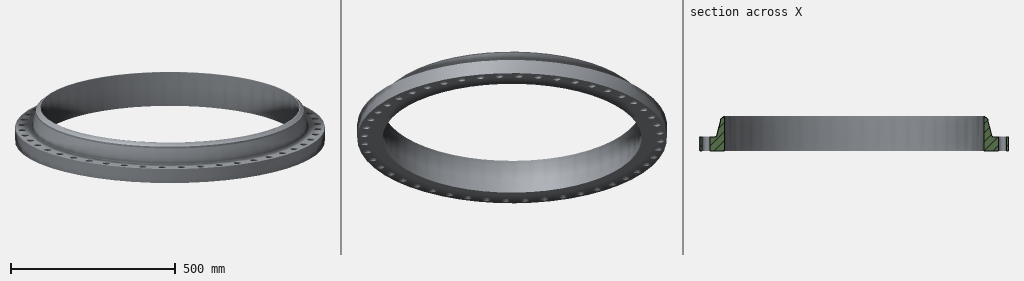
import cadquery as cq
import math

outer_diameter = 941.0
flange_thickness = 44.0
bore_radius = 393.0

bolt_hole_count = 48
bolt_circle_diameter = 900.0
bolt_hole_diameter = 23.0

total_height = 106.0
taper_base_radius = 420.0
taper_top_radius = 407.5
foot_fillet_radius = 6.0
land_height = 6.0
bevel_height = 9.0
rim_width = 3.0

outer_radius = outer_diameter / 2
bevel_bottom = total_height - bevel_height
taper_top = bevel_bottom - land_height

taper_angle = math.atan2(taper_top - flange_thickness, taper_base_radius - taper_top_radius)
fillet_setback = foot_fillet_radius * math.tan(taper_angle / 2)
fillet_start_radius = taper_base_radius + fillet_setback
fillet_end = (
    taper_base_radius - fillet_setback * math.cos(taper_angle),
    flange_thickness + fillet_setback * math.sin(taper_angle),
)


def make_ring():
    """Revolve the flange and hub section about the Z axis."""
    section = (
        cq.Workplane("XZ")
        .moveTo(bore_radius, 0)
        .lineTo(outer_radius, 0)
        .lineTo(outer_radius, flange_thickness)
        .lineTo(fillet_start_radius, flange_thickness)
        .tangentArcPoint(fillet_end, relative=False)
        .lineTo(taper_top_radius, taper_top)
        .lineTo(taper_top_radius, bevel_bottom)
        .lineTo(bore_radius + rim_width, total_height)
        .lineTo(bore_radius, total_height)
        .close()
    )
    return section.revolve(360, (0, 0, 0), (0, 1, 0))


def make_bolt_holes():
    """Cylinders through the flange, evenly spaced on the bolt circle."""
    return (
        cq.Workplane("XY")
        .polarArray(bolt_circle_diameter / 2, 0, 360, bolt_hole_count)
        .circle(bolt_hole_diameter / 2)
        .extrude(flange_thickness)
    )


result = make_ring().cut(make_bolt_holes())